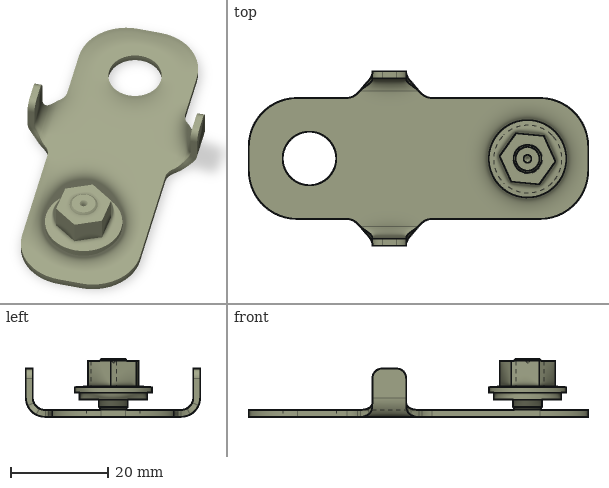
import cadquery as cq
import math

plate_length = 70
plate_width = 25.0
plate_thickness = 1.5
plate_corner_radius = 10.0
hole_diameter = 11.0
hole_offset = 22.5

tab_center_x = -6.0
tab_width = 7
tab_span = 36.0
tab_height = 10.0
tab_corner_radius = 2.0
bend_inner_radius = 2.5
root_fillet_radius = 3.0
taper_run = 2.5

overall_height = 12.0
stud_offset_y = -0.1
stud_diameter = 6.0
stud_tip_chamfer = 0.55
stud_foot_height = 0.6
stud_foot_inset = 0.2
center_drill_diameter = 1.6
washer_diameter = 14
washer_bottom = 3.6
flange_diameter = 15.95
flange_bottom = 5.05
flange_rim_top = 6.15
flange_cone_rise = 0.2
nut_across_flats = 10.0
nut_top = 11.55
nut_turn = -5.5

bend_outer_radius = bend_inner_radius + plate_thickness
bend_start_y = tab_span / 2 - bend_outer_radius
edge_y = plate_width / 2
half_tab = tab_width / 2

half_root = half_tab + taper_run
half_root_at_edge = half_root + bend_start_y - edge_y
bend_middle_radius = bend_inner_radius + plate_thickness / 2
fillet_start = taper_run - root_fillet_radius * (1 - math.cos(math.pi / 4))
fillet_end = taper_run + root_fillet_radius * math.tan(math.pi / 8)


def make_plate():
    plate = (
        cq.Workplane("XY")
        .rect(plate_length, plate_width)
        .extrude(plate_thickness)
        .edges("|Z")
        .fillet(plate_corner_radius)
    )
    root = (
        cq.Workplane("XY")
        .moveTo(tab_center_x - half_root_at_edge, edge_y)
        .lineTo(tab_center_x - half_root, bend_start_y)
        .lineTo(tab_center_x + half_root, bend_start_y)
        .lineTo(tab_center_x + half_root_at_edge, edge_y)
        .lineTo(tab_center_x + half_root_at_edge, 0)
        .lineTo(tab_center_x - half_root_at_edge, 0)
        .close()
        .extrude(plate_thickness)
    )
    plate = plate.union(root).union(root.mirror("XZ"))
    margin = 0.1
    corners = cq.selectors.BoxSelector(
        (tab_center_x - half_root_at_edge - margin, -edge_y - margin, 0),
        (tab_center_x + half_root_at_edge + margin, edge_y + margin, plate_thickness),
    )
    plate = plate.edges("|Z").edges(corners).fillet(root_fillet_radius)
    hole = cq.Workplane("XY").center(-hole_offset, 0).circle(hole_diameter / 2).extrude(plate_thickness)
    return plate.cut(hole)


def half_width(distance):
    """Half width of the tab at a flat distance past the bend start."""
    if distance <= fillet_start:
        return half_root - distance
    if distance >= fillet_end:
        return half_tab
    return half_tab + root_fillet_radius - math.sqrt(root_fillet_radius**2 - (fillet_end - distance) ** 2)


def flank_edge(side, radius, angles):
    """Curve along one flank of the tab (side -1 or 1), at a radius about the bend axis."""
    points = [
        cq.Vector(
            side * half_width(bend_middle_radius * angle),
            bend_start_y + radius * math.sin(angle),
            bend_outer_radius - radius * math.cos(angle),
        )
        for angle in angles
    ]
    return cq.Edge.makeSpline(points, parameters=angles)


def make_width_envelope(start_angle, end_angle):
    """Solid that bounds the tab width over a stretch of the bend; angle 0 is at the plate."""
    steps = 12
    inner = bend_inner_radius - plate_thickness / 2
    outer = bend_outer_radius + plate_thickness / 2
    angles = [start_angle + (end_angle - start_angle) * i / steps for i in range(steps + 1)]
    corners = [
        flank_edge(-1, inner, angles),
        flank_edge(1, inner, angles),
        flank_edge(1, outer, angles),
        flank_edge(-1, outer, angles),
    ]
    walls = [cq.Face.makeRuledSurface(corners[i - 1], corners[i]) for i in range(4)]
    start_cap = cq.Face.makeFromWires(cq.Wire.makePolygon([c.startPoint() for c in corners], close=True))
    end_cap = cq.Face.makeFromWires(cq.Wire.makePolygon([c.endPoint() for c in corners], close=True))
    shell = cq.Shell.makeShell(walls + [start_cap, end_cap])
    return cq.Workplane(cq.Solid.makeSolid(shell))


def make_bend():
    """Quarter ring of sheet, trimmed to the taper, the root fillet and the straight tab side."""
    bend_axis = cq.Plane(
        origin=(-half_root, bend_start_y, bend_outer_radius), xDir=(0, 1, 0), normal=(1, 0, 0)
    )
    ring = (
        cq.Workplane(bend_axis)
        .circle(bend_outer_radius)
        .circle(bend_inner_radius)
        .extrude(2 * half_root)
    )
    fillet_start_angle = fillet_start / bend_middle_radius
    fillet_end_angle = fillet_end / bend_middle_radius
    taper = make_width_envelope(0, fillet_start_angle)
    fillet = make_width_envelope(fillet_start_angle, fillet_end_angle)
    straight = make_width_envelope(fillet_end_angle, math.pi / 2)
    return ring.intersect(taper.union(fillet).union(straight))


def make_tab():
    upright = (
        cq.Workplane("XY")
        .box(tab_width, plate_thickness, tab_height - bend_outer_radius, centered=(True, False, False))
        .edges("|Y and >Z")
        .fillet(tab_corner_radius)
        .translate((0, bend_start_y + bend_inner_radius, bend_outer_radius))
    )
    return make_bend().union(upright).translate((tab_center_x, 0, 0))


def make_stud():
    """Stud, washer and nut flange turned as one profile, with the hex nut added."""
    stud_radius = stud_diameter / 2
    washer_radius = washer_diameter / 2
    flange_radius = flange_diameter / 2
    nut_inner_radius = nut_across_flats / 2
    foot_radius = stud_radius - stud_foot_inset
    tip_radius = stud_radius - stud_tip_chamfer
    drill_radius = center_drill_diameter / 2
    drill_depth = drill_radius
    nut_bore_radius = stud_radius / 2
    foot_top = plate_thickness + stud_foot_height
    cone_top = flange_rim_top + flange_cone_rise
    turned = (
        cq.Workplane("XZ")
        .moveTo(0, 0)
        .lineTo(foot_radius, 0)
        .lineTo(foot_radius, foot_top - stud_foot_inset)
        .lineTo(stud_radius, foot_top)
        .lineTo(stud_radius, washer_bottom)
        .lineTo(washer_radius, washer_bottom)
        .lineTo(washer_radius, flange_bottom)
        .lineTo(flange_radius, flange_bottom)
        .lineTo(flange_radius, flange_rim_top)
        .lineTo(nut_inner_radius, cone_top)
        .lineTo(stud_radius, cone_top)
        .lineTo(stud_radius, overall_height - stud_tip_chamfer)
        .lineTo(tip_radius, overall_height)
        .lineTo(drill_radius, overall_height)
        .lineTo(0, overall_height - drill_depth)
        .close()
        .revolve(360, (0, 0, 0), (0, 1, 0))
    )
    nut_across_corners = nut_across_flats / math.cos(math.pi / 6)
    nut_ring = (
        cq.Workplane("XY", origin=(0, 0, flange_bottom))
        .polygon(6, nut_across_corners)
        .circle(nut_bore_radius)
        .extrude(nut_top - flange_bottom)
        .rotate((0, 0, 0), (0, 0, 1), nut_turn)
    )
    return turned.union(nut_ring).translate((hole_offset, stud_offset_y, 0))


tab = make_tab()
result = make_plate().union(tab).union(tab.mirror("XZ")).union(make_stud()).solids()